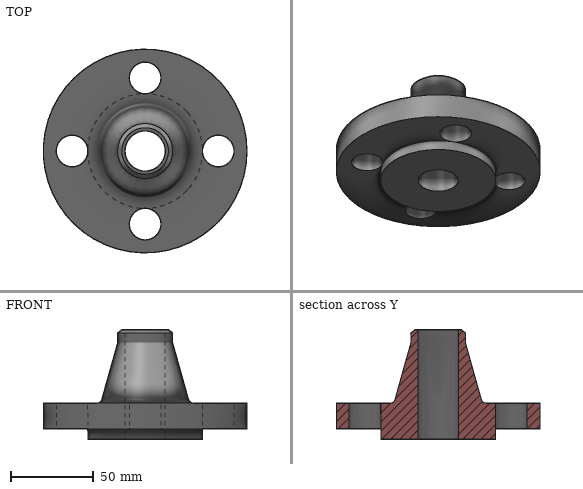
import cadquery as cq
import math

flange_diameter = 124.0
flange_thickness = 15.8

facing_diameter = 69.85
facing_height = 6.35

overall_height = 66.8
hub_base_diameter = 54.0
hub_fillet_radius = 3.0
neck_diameter = 33.4
neck_length = 7.9

bore_diameter = 24.3
land_width = 2.0
bevel_angle = 37.5

bolt_count = 4
bolt_circle_diameter = 88.9
bolt_hole_diameter = 19.1

flange_radius = flange_diameter / 2
facing_radius = facing_diameter / 2
hub_base_radius = hub_base_diameter / 2
neck_radius = neck_diameter / 2
bore_radius = bore_diameter / 2
land_radius = bore_radius + land_width
flange_top = facing_height + flange_thickness
neck_bottom = overall_height - neck_length
bevel_height = (neck_radius - land_radius) * math.tan(math.radians(bevel_angle))


def turned_body():
    """Facing, disc, tapered hub and bore, revolved about Z as one profile."""
    taper_angle = math.atan2(neck_bottom - flange_top, hub_base_radius - neck_radius)
    tangent_length = hub_fillet_radius * math.tan(taper_angle / 2)
    fillet_foot = (hub_base_radius + tangent_length, flange_top)
    fillet_head = (
        hub_base_radius - tangent_length * math.cos(taper_angle),
        flange_top + tangent_length * math.sin(taper_angle),
    )

    half_angle = taper_angle / 2
    fillet_middle = (
        fillet_foot[0] - hub_fillet_radius * math.sin(half_angle),
        flange_top + hub_fillet_radius * (1 - math.cos(half_angle)),
    )

    profile = (
        cq.Workplane("XZ")
        .moveTo(bore_radius, 0)
        .lineTo(facing_radius, 0)
        .lineTo(facing_radius, facing_height)
        .lineTo(flange_radius, facing_height)
        .lineTo(flange_radius, flange_top)
        .lineTo(*fillet_foot)
        .threePointArc(fillet_middle, fillet_head)
        .lineTo(neck_radius, neck_bottom)
        .lineTo(neck_radius, overall_height - bevel_height)
        .lineTo(land_radius, overall_height)
        .lineTo(bore_radius, overall_height)
        .close()
    )
    return profile.revolve(360, (0, 0, 0), (0, 1, 0))


def bolt_holes():
    """Cylinders through the disc, evenly spaced on the bolt circle."""
    return (
        cq.Workplane("XY", origin=(0, 0, facing_height))
        .polarArray(bolt_circle_diameter / 2, 0, 360, bolt_count)
        .circle(bolt_hole_diameter / 2)
        .extrude(flange_thickness)
    )


result = turned_body().cut(bolt_holes())